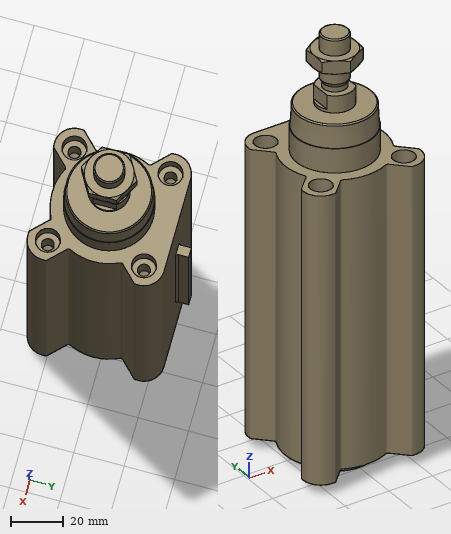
import cadquery as cq
import math

BARREL_BOTTOM = 4.5
BARREL_TOP = 134.2
COLLAR_TOP = 145.0
CAP_TOP = 155.3
SHOULDER_TOP = 163.0
NECK_TOP = 165.2
THREAD_BOTTOM = 166.9
ROD_TOP = 186.9

BARREL_WIDTH = 54.0
HALF_WIDTH = BARREL_WIDTH / 2
BARREL_LENGTH = BARREL_TOP - BARREL_BOTTOM
BARREL_DIAMETER = 45.2
BOLT_OFFSET = 19.0
EAR_WIDTH = 13.5
EAR_RADIUS = HALF_WIDTH - BOLT_OFFSET
PROFILE_FILLET = 1.1
TOLERANCE = 0.02

SOCKET_DIAMETER = 9.5
SOCKET_DEPTH = 6.0
BOLT_HOLE_DIAMETER = 4.9
BOLT_HOLE_DEPTH = 15.0
DRILL_POINT_ANGLE = 118.0

TOTAL_DEPTH = 59.0
RAIL_WIDTH = 4.0
RAIL_BOTTOM = 37.0
RAIL_TOP = 101.3
RAIL_ROOT_HEIGHT = 1.0
RAIL_ROOT_FLARE = 0.4

BOSS_DIAMETER = 35.0
CAP_BASE_DIAMETER = 34.4
CAP_TOP_DIAMETER = 33.5
EDGE_CHAMFER = 0.5

ROD_DIAMETER = 16.0
ROD_ACROSS_FLATS = 13.0
FLATS_BOTTOM = 156.6
NECK_DIAMETER = 10.3
THREAD_DIAMETER = 12.0
THREAD_CHAMFER = 0.5

NUT_ACROSS_FLATS = 19.0
NUT_THICKNESS = 6.0
NUT_BOTTOM = 173.6
NUT_CHAMFER_ANGLE = 20.0


def cylinder(diameter, bottom, top):
    """Solid cylinder on the Z axis between two heights."""
    return cq.Workplane("XY").workplane(offset=bottom).circle(diameter / 2).extrude(top - bottom)


def turned(outline):
    """Solid of revolution about Z from a closed outline of (radius, height) points."""
    return cq.Workplane("XZ").polyline(outline).close().revolve(360, (0, 0, 0), (0, 1, 0))



def is_sharp_corner(edge):
    """True unless the edge is where a round ear end runs smoothly into a straight side."""
    center = edge.Center()
    return all(abs(abs(value) - BOLT_OFFSET) > TOLERANCE for value in (center.x, center.y))


def barrel():
    """Round barrel with four diagonal ears; a flat bridge joins the two ears on +Y."""
    base = cq.Workplane("XY").workplane(offset=BARREL_BOTTOM)
    body = base.circle(BARREL_DIAMETER / 2).extrude(BARREL_LENGTH)
    for angle in (45, -45):
        ear_pair = base.transformed(rotate=(0, 0, angle)).rect(2 * BARREL_WIDTH, EAR_WIDTH)
        body = body.union(ear_pair.extrude(BARREL_LENGTH))
    bridge = base.polyline([
        (0, 0),
        (BOLT_OFFSET, BOLT_OFFSET),
        (BOLT_OFFSET, HALF_WIDTH),
        (-BOLT_OFFSET, HALF_WIDTH),
        (-BOLT_OFFSET, BOLT_OFFSET),
    ]).close().extrude(BARREL_LENGTH)
    envelope = base.rect(BARREL_WIDTH, BARREL_WIDTH).extrude(BARREL_LENGTH).edges("|Z").fillet(EAR_RADIUS)
    body = body.union(bridge).intersect(envelope).clean()
    return body.edges("|Z").filter(is_sharp_corner).fillet(PROFILE_FILLET)


def rear_boss():
    """Short round boss below the barrel."""
    return cylinder(BOSS_DIAMETER, 0, BARREL_BOTTOM).faces("<Z").chamfer(EDGE_CHAMFER)


def front_cap():
    """Round collar above the barrel, carrying a slightly tapered cap."""
    collar = cylinder(BOSS_DIAMETER, BARREL_TOP, COLLAR_TOP)
    cap = turned([
        (0, COLLAR_TOP),
        (CAP_BASE_DIAMETER / 2, COLLAR_TOP),
        (CAP_TOP_DIAMETER / 2, CAP_TOP - EDGE_CHAMFER),
        (CAP_TOP_DIAMETER / 2 - EDGE_CHAMFER, CAP_TOP),
        (0, CAP_TOP),
    ])
    return collar.union(cap)


def sensor_rail():
    """Straight rail with a flared root, along the flat +Y side."""
    half = RAIL_WIDTH / 2
    root_top = HALF_WIDTH + RAIL_ROOT_HEIGHT
    crest = TOTAL_DEPTH - HALF_WIDTH
    return cq.Workplane("XY").workplane(offset=RAIL_BOTTOM).polyline([
        (-half - RAIL_ROOT_FLARE, HALF_WIDTH),
        (half + RAIL_ROOT_FLARE, HALF_WIDTH),
        (half, root_top),
        (half, crest),
        (-half, crest),
        (-half, root_top),
    ]).close().extrude(RAIL_TOP - RAIL_BOTTOM)


def bolt_socket():
    """Cutter for one counterbored blind hole with a drill point, on the Z axis."""
    socket_radius = SOCKET_DIAMETER / 2
    hole_radius = BOLT_HOLE_DIAMETER / 2
    socket_floor = BARREL_TOP - SOCKET_DEPTH
    hole_floor = BARREL_TOP - BOLT_HOLE_DEPTH
    point_length = hole_radius / math.tan(math.radians(DRILL_POINT_ANGLE / 2))
    return turned([
        (0, BARREL_TOP),
        (socket_radius, BARREL_TOP),
        (socket_radius, socket_floor),
        (hole_radius, socket_floor),
        (hole_radius, hole_floor),
        (0, hole_floor - point_length),
    ])


def make_housing():
    """Barrel, end bosses and rail, with four bolt sockets and a blind seat for the rod."""
    body = barrel().union(rear_boss()).union(front_cap()).union(sensor_rail())
    for x in (-BOLT_OFFSET, BOLT_OFFSET):
        for y in (-BOLT_OFFSET, BOLT_OFFSET):
            body = body.cut(bolt_socket().translate((x, y, 0)))
    rod_seat = cylinder(ROD_DIAMETER, BARREL_TOP, CAP_TOP)
    return body.cut(rod_seat)



def rod_shoulder():
    """Full-diameter part of the rod, with two wrench flats facing +X and -X."""
    plain = cylinder(ROD_DIAMETER, BARREL_TOP, FLATS_BOTTOM)
    flat_bar = (
        cq.Workplane("XY").workplane(offset=FLATS_BOTTOM)
        .rect(ROD_ACROSS_FLATS, ROD_DIAMETER)
        .extrude(SHOULDER_TOP - FLATS_BOTTOM)
    )
    flatted = cylinder(ROD_DIAMETER, FLATS_BOTTOM, SHOULDER_TOP).intersect(flat_bar)
    return plain.union(flatted)


def rod_thread():
    """Relief neck and thread, drawn in at both ends of the thread."""
    neck_radius = NECK_DIAMETER / 2
    thread_radius = THREAD_DIAMETER / 2
    return turned([
        (0, SHOULDER_TOP),
        (neck_radius, SHOULDER_TOP),
        (neck_radius, NECK_TOP),
        (thread_radius, THREAD_BOTTOM),
        (thread_radius, ROD_TOP - THREAD_CHAMFER),
        (thread_radius - THREAD_CHAMFER, ROD_TOP),
        (0, ROD_TOP),
    ])


def make_piston_rod():
    """Rod seated in the cap, with its threaded end on top."""
    return rod_shoulder().union(rod_thread())



def make_lock_nut():
    """Hexagon nut with flats facing +X and -X and chamfered corners at both ends."""
    flat_radius = NUT_ACROSS_FLATS / 2
    corner_radius = NUT_ACROSS_FLATS / math.sqrt(3)
    nut_top = NUT_BOTTOM + NUT_THICKNESS
    chamfer_height = (corner_radius - flat_radius) * math.tan(math.radians(NUT_CHAMFER_ANGLE))
    hexagon = (
        cq.Workplane("XY").workplane(offset=NUT_BOTTOM)
        .transformed(rotate=(0, 0, 30))
        .polygon(6, 2 * corner_radius)
        .extrude(NUT_THICKNESS)
    )
    envelope = turned([
        (0, NUT_BOTTOM),
        (flat_radius, NUT_BOTTOM),
        (corner_radius, NUT_BOTTOM + chamfer_height),
        (corner_radius, nut_top - chamfer_height),
        (flat_radius, nut_top),
        (0, nut_top),
    ])
    bore = cylinder(THREAD_DIAMETER, NUT_BOTTOM, nut_top)
    return hexagon.intersect(envelope).cut(bore)


housing = make_housing()
piston_rod = make_piston_rod()
lock_nut = make_lock_nut()

bodies = [body.solids().val() for body in (housing, piston_rod, lock_nut)]
result = cq.Compound.makeCompound(bodies)